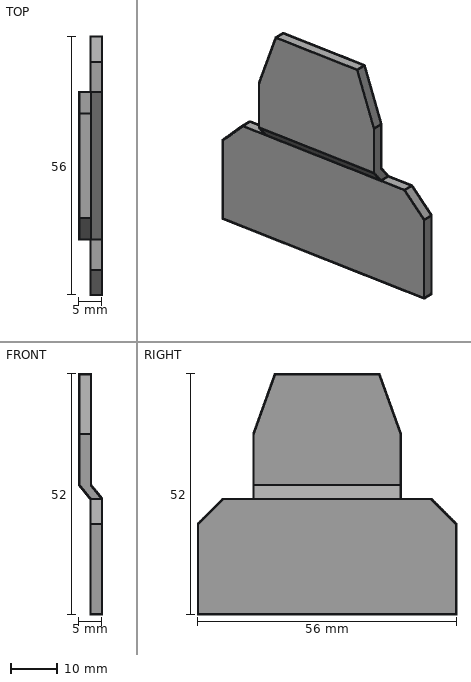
import cadquery as cq

total_depth = 5.0
base_width = 56.0
total_height = 52.0
sheet_thickness = 2.6

base_height = 25.05
corner_cut = 5.5

tab_width = 32.0
tab_top_width = 22.6
bend_top = 28.0
taper_start = 39.05

back_x = total_depth / 2
front_x = -back_x
base_front_x = back_x - sheet_thickness
tab_back_x = front_x + sheet_thickness


def make_base():
    """Wide plate with its two upper corners cut off."""
    plate = (
        cq.Workplane("XY")
        .box(sheet_thickness, base_width, base_height, centered=(False, True, False))
        .translate((base_front_x, 0, 0))
    )
    return plate.edges("|X and >Z").chamfer(corner_cut)


def make_tab():
    """Joggled strip, trimmed to a tapered outline towards its top."""
    strip = (
        cq.Workplane("XZ")
        .polyline([
            (base_front_x, base_height),
            (back_x, base_height),
            (tab_back_x, bend_top),
            (tab_back_x, total_height),
            (front_x, total_height),
            (front_x, bend_top),
        ])
        .close()
        .extrude(tab_width / 2, both=True)
    )
    outline = (
        cq.Workplane("YZ", origin=(front_x, 0, 0))
        .polyline([
            (-tab_width / 2, base_height),
            (tab_width / 2, base_height),
            (tab_width / 2, taper_start),
            (tab_top_width / 2, total_height),
            (-tab_top_width / 2, total_height),
            (-tab_width / 2, taper_start),
        ])
        .close()
        .extrude(total_depth)
    )
    return strip.intersect(outline)


result = make_base().union(make_tab())